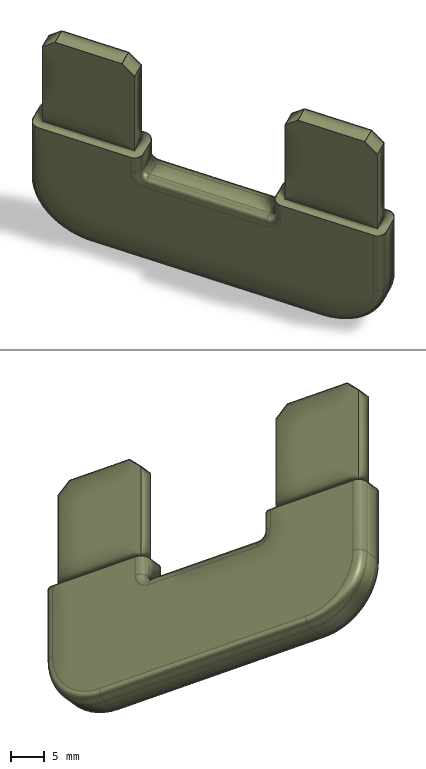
import cadquery as cq

length = 57.5
height = 40.4
cover_height = 22.15
cover_wall = 1.5
bar_thickness = 2.55
blade_width = 15.0
corner_radius = 10.0
notch_depth = 4.15
notch_radius = 1.0
blade_chamfer_width = 2.05
blade_chamfer_height = 1.9
selection_margin = 0.05

cover_thickness = bar_thickness + 2 * cover_wall
bar_length = length - 2 * cover_wall
notch_width = length - 2 * (blade_width + 2 * cover_wall)
notch_floor = cover_height - notch_depth
blade_gap = bar_length - 2 * blade_width
blade_gap_floor = notch_floor - cover_wall


def u_plate(outer_length, bottom, top, gap_width, gap_floor, outer_radius, inner_radius, thickness):
    """U-shaped plate standing in the XZ plane, centred on X and Y."""
    half_length = outer_length / 2
    half_gap = gap_width / 2
    return (
        cq.Workplane("XZ")
        .polyline([
            (-half_length, bottom),
            (half_length, bottom),
            (half_length, top),
            (half_gap, top),
            (half_gap, gap_floor),
            (-half_gap, gap_floor),
            (-half_gap, top),
            (-half_length, top),
        ])
        .close()
        .extrude(thickness / 2, both=True)
        .edges("|Y and <Z")
        .fillet(outer_radius)
        .edges(cq.selectors.BoxSelector(
            (-half_gap - selection_margin, -thickness, gap_floor - selection_margin),
            (half_gap + selection_margin, thickness, gap_floor + selection_margin),
        ))
        .edges("|Y")
        .fillet(inner_radius)
    )


def make_bar():
    """Flat conductor: a U whose two legs end in chamfered blades."""
    bar = u_plate(
        bar_length, cover_wall, height, blade_gap, blade_gap_floor,
        corner_radius - cover_wall, notch_radius + cover_wall, bar_thickness,
    )
    for side in (-1, 1):
        for edge_x, inward in ((side * bar_length / 2, -side), (side * blade_gap / 2, side)):
            corner = (
                cq.Workplane("XZ")
                .polyline([
                    (edge_x, height),
                    (edge_x + inward * blade_chamfer_width, height),
                    (edge_x, height - blade_chamfer_height),
                ])
                .close()
                .extrude(bar_thickness, both=True)
            )
            bar = bar.cut(corner)
    return bar


def make_cover(bar):
    """Insulating U with rounded rims, open on top where the blades come out."""
    cover = u_plate(
        length, 0, cover_height, notch_width, notch_floor,
        corner_radius, notch_radius, cover_thickness,
    )
    rims = cover.faces("<Y or >Y").edges().edges(
        cq.selectors.BoxSelector(
            (-length, -length, -selection_margin),
            (length, length, cover_height - selection_margin),
        )
    )
    return rims.fillet(cover_wall).cut(bar)


bar = make_bar()
cover = make_cover(bar)

result = cq.Compound.makeCompound([bar.val(), cover.val()])